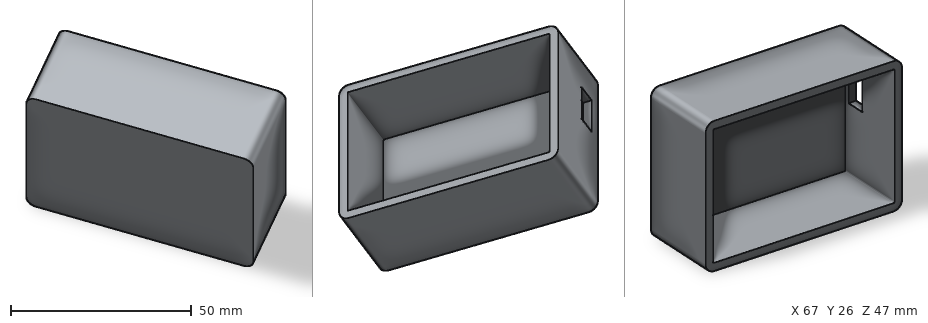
import cadquery as cq

length = 67.0
depth = 26.0
height = 47.0
corner_radius = 3.0
wall = 2.6

port_depth = 6.5
port_height = 11.05
port_front_offset = 4.15
port_top_offset = 11.45


def rounded_block(size_x, size_y, size_z, radius):
    """Centred block whose four edges along Y are rounded."""
    return cq.Workplane("XY").box(size_x, size_y, size_z).edges("|Y").fillet(radius)


outer = rounded_block(length, depth, height, corner_radius)
cavity = rounded_block(
    length - 2 * wall, depth, height - 2 * wall, corner_radius - wall
).translate((0, wall, 0))

port_y = -depth / 2 + port_front_offset + port_depth / 2
port_z = height / 2 - port_top_offset - port_height / 2
port = cq.Workplane("XY").box(4 * wall, port_depth, port_height).translate(
    (-length / 2, port_y, port_z)
)

result = outer.cut(cavity).cut(port)